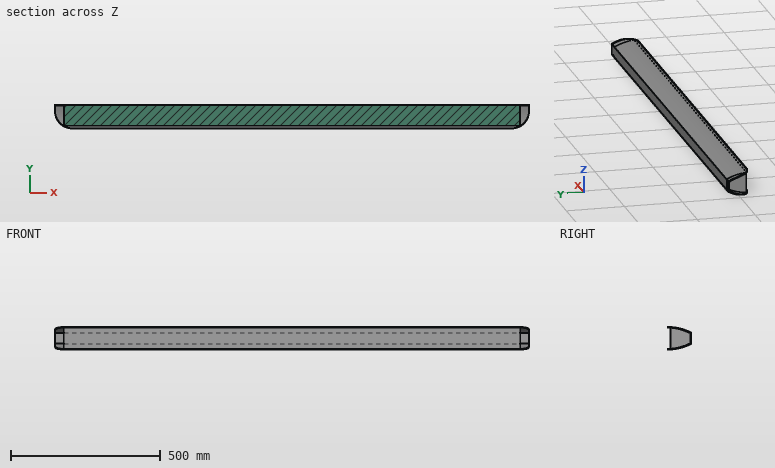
import cadquery as cq
import math

length = 1584.0
depth = 79.06
height = 77.0

wall = 3.0
back_height = 37.0
front_slope = 1.0
end_radius = 60.0

core_end_inset = 30.0
core_front_inset = 9.0

front_y = -depth / 2
back_y = depth / 2

side_rise = (height - back_height) / 2
side_chord = math.hypot(depth, side_rise)
front_angle = math.radians(front_slope)
half_sweep = math.atan2(side_rise, depth) - front_angle
side_radius = side_chord / (2 * math.sin(half_sweep))
arc_center_y = front_y - side_radius * math.sin(front_angle)
arc_center_z = height / 2 - side_radius * math.cos(front_angle)


def side_height(y, inset):
    """Z of the upper side at the given Y, after moving the side inwards by the inset."""
    radius = side_radius - inset
    return arc_center_z + math.sqrt(radius**2 - (y - arc_center_y) ** 2)


def make_bar(bar_length, start_y, end_y, inset):
    """Bar along X with two arc sides, flat at both Y limits."""
    start_z = side_height(start_y, inset)
    end_z = side_height(end_y, inset)
    radius = side_radius - inset
    return (
        cq.Workplane("YZ")
        .moveTo(start_y, start_z)
        .radiusArc((end_y, end_z), radius)
        .lineTo(end_y, -end_z)
        .radiusArc((start_y, -start_z), radius)
        .close()
        .extrude(bar_length / 2, both=True)
    )


def make_shell():
    """Trough with a flat back, open at the front and both ends, with rounded front corners."""
    outer = make_bar(length, front_y, back_y, 0)
    cavity = make_bar(length, front_y, back_y - wall, wall)
    plan = (
        cq.Workplane("XY")
        .box(length, depth, 2 * height)
        .edges("|Z and <Y")
        .fillet(end_radius)
    )
    return outer.cut(cavity).intersect(plan)


def make_core():
    """Solid block that fills the cavity, set back from the ends and the open front."""
    core_length = length - 2 * core_end_inset
    return make_bar(core_length, front_y + core_front_inset, back_y - wall, wall)


result = make_shell().union(make_core())